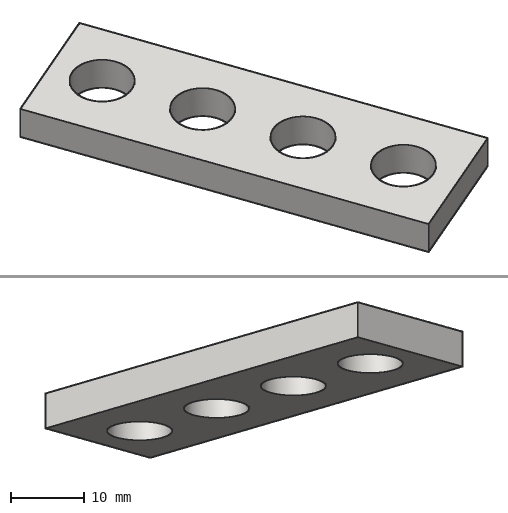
import cadquery as cq

length = 60.95
width = 20.05
thickness = 5.0

hole_count = 4
hole_diameter = 8.9
hole_pitch = 15.0
first_hole_from_end = 7.8

hole_centres = [
    (first_hole_from_end + index * hole_pitch, width / 2)
    for index in range(hole_count)
]

plate = cq.Workplane("XY").box(length, width, thickness, centered=False)

holes = (
    cq.Workplane("XY")
    .pushPoints(hole_centres)
    .circle(hole_diameter / 2)
    .extrude(thickness)
)

result = plate.cut(holes)